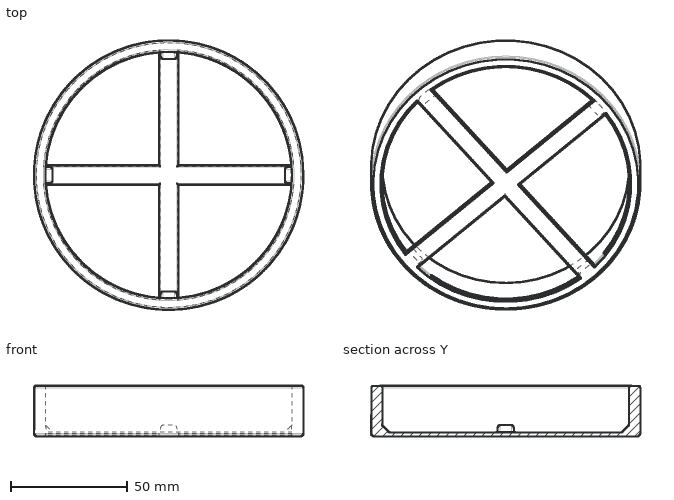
import cadquery as cq

outer_diameter = 116
inner_diameter = 106
ring_height = 22
rim_fillet = 1
bottom_chamfer = 1
wall_blend_radius = 1

spoke_width = 8.5
spoke_thickness = 2
spoke_fillet = 0.7
spoke_chamfer = 0.5
spoke_blend_radius = 1

wedge_leg = 3
wedge_width = 7
wedge_fillet = 1

outer_radius = outer_diameter / 2
inner_radius = inner_diameter / 2
wall_middle_radius = (outer_radius + inner_radius) / 2


def make_ring():
    """Wall with a rounded rim and bottom chamfers that blend into its inner and outer faces."""
    ring = cq.Workplane("XY").circle(outer_radius).circle(inner_radius).extrude(ring_height)
    ring = ring.faces("<Z").edges().chamfer(bottom_chamfer)
    ring = ring.faces("%CONE").edges(">Z").fillet(wall_blend_radius)
    return ring.faces(">Z").edges().fillet(rim_fillet)


def make_spoke_bar():
    """Bar along Y with blended chamfers below and rounded upper edges, ending inside the wall."""
    bar = cq.Workplane("XY").box(
        spoke_width, 2 * wall_middle_radius, spoke_thickness, centered=(True, True, False)
    )
    bar = bar.edges("|Y and <Z").chamfer(spoke_chamfer)
    bar = bar.faces("<X or >X").edges("<Z").fillet(spoke_blend_radius)
    return bar.edges("|Y and >Z").fillet(spoke_fillet)


def make_wedge():
    """45 degree ramp rising outward at the +X spoke end, with rounded slope edges."""
    ramp_start = inner_radius - wedge_leg
    ramp_rise = wall_middle_radius - ramp_start
    ramp = (
        cq.Workplane("XZ")
        .moveTo(ramp_start, spoke_thickness)
        .lineTo(wall_middle_radius, spoke_thickness)
        .lineTo(wall_middle_radius, spoke_thickness + ramp_rise)
        .close()
        .extrude(wedge_width / 2, both=True)
    )
    return ramp.edges("not(|X or |Y or |Z)").fillet(wedge_fillet)


def turn(solid, angle):
    """Turn a solid about the ring axis."""
    return solid.rotate((0, 0, 0), (0, 0, 1), angle)


result = make_ring()
for bar_angle in (0, 90):
    result = result.union(turn(make_spoke_bar(), bar_angle))
for wedge_angle in (0, 90, 180, 270):
    result = result.union(turn(make_wedge(), wedge_angle))